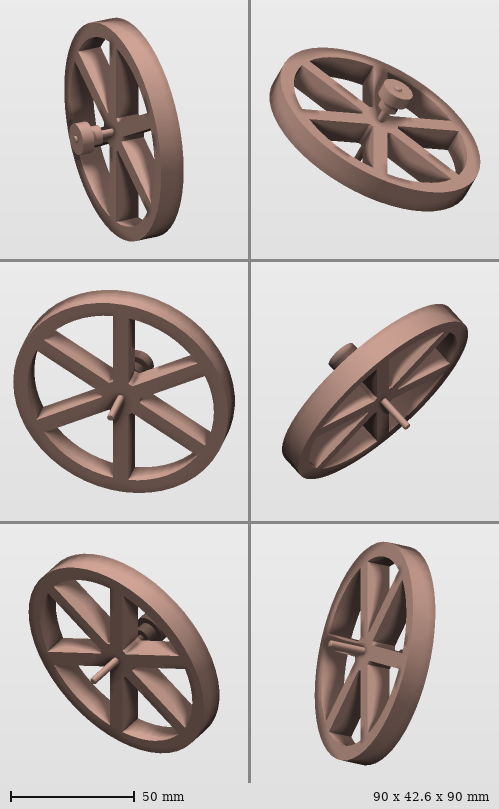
import cadquery as cq

wheel_diameter = 90.0
wheel_thickness = 10.1
rim_width = 6.0
hub_diameter = 16.0
spoke_width = 6.3
spoke_count = 6

shaft_diameter = 3.0
shaft_length = 42.6
shaft_front_reach = 17.1
shaft_chamfer = 0.4

pulley_gap = 6.2
small_step_diameter = 8.0
small_step_length = 4.95
large_step_diameter = 13.0
large_step_length = 5.1


def cylinder(diameter, front_y, length):
    """Cylinder on the Y axis, running from front_y toward +Y."""
    plane = cq.Workplane("XZ", origin=(0, front_y, 0))
    return plane.circle(diameter / 2).extrude(-length)


def make_shaft():
    shaft = cylinder(shaft_diameter, -shaft_front_reach, shaft_length)
    return shaft.faces("<Y or >Y").edges().chamfer(shaft_chamfer)


def make_bore(front_y, length):
    return cylinder(shaft_diameter, front_y, length)


def make_wheel():
    rim_inner_diameter = wheel_diameter - 2 * rim_width
    rim = cylinder(wheel_diameter, 0, wheel_thickness)
    rim = rim.cut(cylinder(rim_inner_diameter, 0, wheel_thickness))
    wheel = rim.union(cylinder(hub_diameter, 0, wheel_thickness))

    bar_length = wheel_diameter - rim_width
    bar_count = spoke_count // 2
    bar = cq.Workplane("XZ").rect(spoke_width, bar_length).extrude(-wheel_thickness)
    for index in range(bar_count):
        angle = index * 360 / spoke_count
        wheel = wheel.union(bar.rotate((0, 0, 0), (0, 1, 0), angle))

    return wheel.cut(make_bore(0, wheel_thickness))


def make_pulley():
    step_y = -pulley_gap - small_step_length
    front_y = step_y - large_step_length
    pulley = cylinder(large_step_diameter, front_y, large_step_length)
    pulley = pulley.union(cylinder(small_step_diameter, step_y, small_step_length))
    return pulley.cut(make_bore(front_y, small_step_length + large_step_length))


wheel = make_wheel()
shaft = make_shaft()
pulley = make_pulley()

result = cq.Compound.makeCompound([wheel.val(), shaft.val(), pulley.val()])